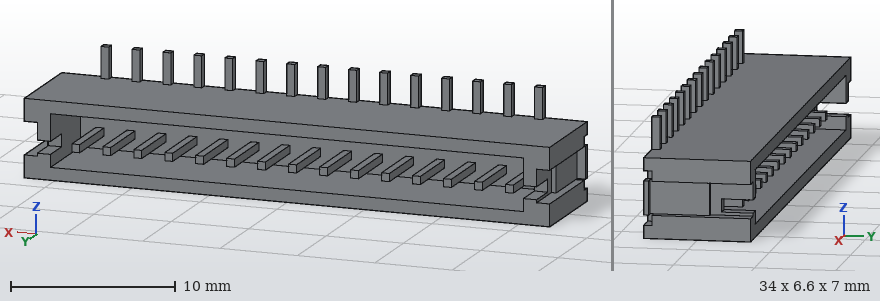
import cadquery as cq


length = 33.95
depth = 6.6
total_height = 7.0
tail_height = 2.0
body_height = total_height - tail_height
mid_height = body_height / 2

end_wall = 1.7
front_wall = 1.35
shell_wall = 0.8

pin_count = 15
pin_row_span = 28.0
pin_pitch = pin_row_span / (pin_count - 1)
pin_size = 0.5
pin_bottom = 1.63
pin_setback = 1.0

slot_depth = 0.85
slot_height = 2.1
pocket_height = 3.35
pocket_width = 1.35
pocket_depth = 0.5

notch_depth = 1.95
notch_height = 0.8

tab_thickness = 0.3
tab_leg_end = 3.97


def block(x_min, x_max, y_min, y_max, z_min, z_max):
    """Box given by its limits along each axis."""
    size = (x_max - x_min, y_max - y_min, z_max - z_min)
    return cq.Workplane("XY").box(*size, centered=False).translate((x_min, y_min, z_min))


def end_block(inset_min, inset_max, y_min, y_max, height):
    """Left-end box centred on the body height, placed by its inset from the end face."""
    left = -length / 2
    z_min = mid_height - height / 2
    return block(left + inset_min, left + inset_max, y_min, y_max, z_min, z_min + height)


def both_ends(left_shape):
    """Left-end shape together with its mirror image at the right end."""
    return left_shape.union(left_shape.mirror("YZ"))


def make_housing():
    half = length / 2
    body = block(-half, half, 0, depth, 0, body_height)
    cavity = block(
        -half + end_wall, half - end_wall, front_wall, depth, shell_wall, body_height - shell_wall
    )
    notches = block(-half, half, depth - notch_depth, depth, pin_bottom, pin_bottom + notch_height)
    slot = end_block(0, slot_depth, 0, depth, slot_height)
    pocket = end_block(0, pocket_width, 0, pocket_depth, pocket_height)
    return body.cut(cavity).cut(notches).cut(both_ends(slot.union(pocket)))


def make_tab():
    leg = end_block(slot_depth - tab_thickness, slot_depth, 0, tab_leg_end, slot_height)
    foot = end_block(0, slot_depth, 0, tab_thickness, slot_height)
    return leg.union(foot)


def make_pin(x_center):
    x_min = x_center - pin_size / 2
    x_max = x_center + pin_size / 2
    contact = block(x_min, x_max, 0, depth - pin_setback, pin_bottom, pin_bottom + pin_size)
    tail = block(x_min, x_max, 0, pin_size, pin_bottom, total_height)
    return contact.union(tail)


result = make_housing().union(both_ends(make_tab()))
for index in range(pin_count):
    result = result.union(make_pin(index * pin_pitch - pin_row_span / 2))